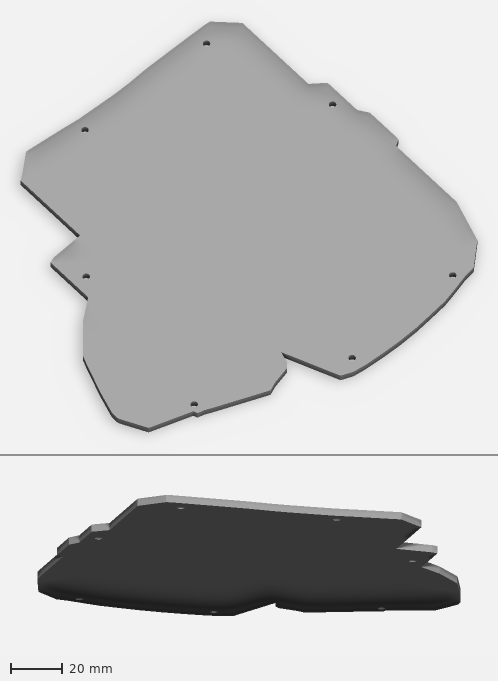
import cadquery as cq

WIDTH = 166.0
DEPTH = 171.5
THICKNESS = 3.0

HOLE_DIAMETER = 3.0

LEFT = -WIDTH / 2
RIGHT = WIDTH / 2
REAR = DEPTH / 2
FRONT = -DEPTH / 2

REAR_OUTER_Y = 76.9
REAR_SHOULDER_Y = 82.9
FRONT_LEFT_Y = -38.6
FRONT_STEP_Y = -56.0


LEFT_WAIST_X = -80.6
left_side = [
    (-82.9, 67.8),
    (LEFT, 65.5),
    (-82.5, 50.0),
    (-82.2, 42.2),
    (-81.8, 33.8),
    (-81.0, 24.2),
    (LEFT_WAIST_X, 16.5),
    (LEFT_WAIST_X, -1.5),
    (-81.1, -8.7),
    (-81.7, -18.2),
    (-82.2, -27.8),
]

front_left_step = [
    (-75.3, -35.5),
    (-72.9, FRONT_LEFT_Y),
    (-37.5, FRONT_LEFT_Y),
    (-36.2, -53.5),
    (-35.2, FRONT_STEP_Y),
    (-12.9, FRONT_STEP_Y),
]

lobe_front = [
    (-5.0, -65.5),
    (7.5, -76.2),
    (10.5, -77.4),
    (24.9, -82.5),
    (35.7, FRONT),
    (39.3, FRONT),
    (41.0, -85.0),
    (50.6, -79.8),
]

lobe_right = [
    (56.0, -61.2),
    (57.6, -60.7),
    (58.3, -57.6),
    (59.5, -54.7),
    (68.0, -31.9),
    (66.2, -28.1),
    (64.0, -20.0),
    (62.0, -18.2),
]

inner_corner = [(56.6, -16.6)]

right_side = [
    (80.5, -6.7),
    (82.3, -1.5),
    (82.9, 4.1),
    (RIGHT, 12.9),
    (82.9, 22.1),
    (82.2, 31.0),
    (81.0, 39.8),
    (79.8, 47.9),
    (78.0, 54.0),
    (75.7, 62.0),
    (74.8, 66.9),
]

rear_side = [
    (65.5, REAR_OUTER_Y),
    (46.3, REAR_SHOULDER_Y),
    (10.3, REAR_SHOULDER_Y),
    (8.4, REAR),
    (-8.5, REAR),
    (-12.9, REAR_SHOULDER_Y),
    (-30.4, REAR_SHOULDER_Y),
    (-34.8, REAR_OUTER_Y),
    (-74.1, REAR_OUTER_Y),
]

outline = (
    left_side
    + front_left_step
    + lobe_front
    + lobe_right
    + inner_corner
    + right_side
    + rear_side
)

hole_centres = [
    (-75.7, 59.7),
    (-21.1, 77.4),
    (72.2, 58.3),
    (76.9, 2.4),
    (-75.0, -3.6),
    (-21.0, -50.0),
    (53.5, -58.8),
]


def make_plate():
    return cq.Workplane("XY").polyline(outline).close().extrude(THICKNESS)


def make_hole_pins():
    return (
        cq.Workplane("XY")
        .pushPoints(hole_centres)
        .circle(HOLE_DIAMETER / 2)
        .extrude(THICKNESS)
    )


result = make_plate().cut(make_hole_pins())